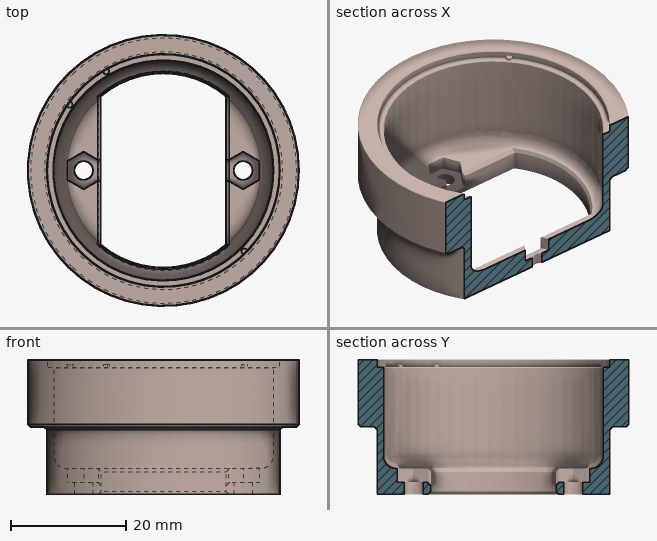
import cadquery as cq
import math

total_height = 23.31
flange_bottom_z = 11.61
floor_z = 4.5
ledge_z = 22.0

flange_diameter = 47.0
tube_diameter = 40.4
top_edge_chamfer = 0.1
flange_edge_chamfer = 0.5
neck_chamfer = 0.4

recess_diameter = 40.2
bore_diameter = 38.0
inner_edge_chamfer = 0.1
corner_radius = 2.2
corner_top_z = floor_z + corner_radius

opening_radius = 16.8
opening_half_width = 10.8
opening_chamfer = 0.6
opening_arc_flare = 0.33
opening_bottom_chamfer = 0.5

screw_offset = 13.8
screw_diameter = 3.2
nut_corner_diameter = 6.5
nut_turn = 90
nut_side_slant = 30
nut_depth = 2.4
mouth_flare = 0.25
mouth_length = 0.45

pin_diameter = 1.0
pin_height = 0.5
pin_center_radius = 19.8
pin_angles = (120, 145, 315)


def make_body():
    """Revolve the flanged cup: outside steps, recess, bore and solid floor."""
    flange_radius = flange_diameter / 2
    tube_radius = tube_diameter / 2
    recess_radius = recess_diameter / 2
    bore_radius = bore_diameter / 2
    arc_inset = corner_radius * (1 - math.sqrt(0.5))
    return (
        cq.Workplane("XZ")
        .moveTo(0, 0)
        .lineTo(tube_radius, 0)
        .lineTo(tube_radius, flange_bottom_z - neck_chamfer)
        .lineTo(tube_radius + neck_chamfer, flange_bottom_z)
        .lineTo(flange_radius - flange_edge_chamfer, flange_bottom_z)
        .lineTo(flange_radius, flange_bottom_z + flange_edge_chamfer)
        .lineTo(flange_radius, total_height - top_edge_chamfer)
        .lineTo(flange_radius - top_edge_chamfer, total_height)
        .lineTo(recess_radius + inner_edge_chamfer, total_height)
        .lineTo(recess_radius, total_height - inner_edge_chamfer)
        .lineTo(recess_radius, ledge_z)
        .lineTo(bore_radius + inner_edge_chamfer, ledge_z)
        .lineTo(bore_radius, ledge_z - inner_edge_chamfer)
        .lineTo(bore_radius, corner_top_z)
        .threePointArc(
            (bore_radius - arc_inset, floor_z + arc_inset),
            (bore_radius - corner_radius, floor_z),
        )
        .lineTo(0, floor_z)
        .close()
        .revolve(360, (0, 0), (0, 1))
    )


def opening_profile(wall_distance, top_flare):
    """Cross-section of half the floor opening, flared at the bottom and the top."""
    wall_top_z = floor_z - opening_chamfer
    return (
        cq.Workplane("XZ")
        .moveTo(0, 0)
        .lineTo(wall_distance + opening_bottom_chamfer, 0)
        .lineTo(wall_distance, opening_bottom_chamfer)
        .lineTo(wall_distance, wall_top_z)
        .lineTo(wall_distance + 2 * top_flare, wall_top_z + 2 * opening_chamfer)
        .lineTo(0, wall_top_z + 2 * opening_chamfer)
        .close()
    )


def make_opening():
    """Through opening: a flared round plug limited by two flared straight sides."""
    plug = opening_profile(opening_radius, opening_arc_flare).revolve(360, (0, 0), (0, 1))
    half_slab = opening_profile(opening_half_width, opening_chamfer).extrude(flange_diameter / 2, both=True)
    return plug.intersect(half_slab.union(half_slab.mirror("YZ")))


def make_nut_pocket():
    """Hexagonal nut pocket whose flared mouth and chamfered sill meet the opening."""
    pocket_z = floor_z - nut_depth
    sill_z = pocket_z - opening_chamfer
    base = cq.Workplane("XY").workplane(offset=sill_z)
    hexagon = (
        base.center(screw_offset, 0)
        .polygon(6, nut_corner_diameter)
        .extrude(corner_top_z - sill_z)
        .rotate((screw_offset, 0, 0), (screw_offset, 0, 1), nut_turn)
    )

    inner_x = opening_half_width + mouth_length
    slant_run = screw_offset - inner_x
    inner_y = nut_corner_diameter / 2 - slant_run * math.tan(math.radians(nut_side_slant))
    outer_y = inner_y + mouth_flare
    mouth = (
        base.moveTo(inner_x, -inner_y)
        .lineTo(inner_x, inner_y)
        .lineTo(opening_half_width, outer_y)
        .lineTo(opening_half_width, -outer_y)
        .close()
        .extrude(floor_z - sill_z)
    )

    section = (
        cq.Workplane("XZ")
        .moveTo(opening_half_width, sill_z)
        .lineTo(opening_half_width + opening_chamfer, pocket_z)
        .lineTo(bore_diameter / 2, pocket_z)
        .lineTo(bore_diameter / 2, corner_top_z)
        .lineTo(opening_half_width, corner_top_z)
        .close()
        .extrude(nut_corner_diameter, both=True)
    )
    return hexagon.union(mouth).intersect(section)


def make_nut_seat():
    """Screw hole with its nut pocket, on the +X side of the opening."""
    hole = cq.Workplane("XY").center(screw_offset, 0).circle(screw_diameter / 2).extrude(floor_z)
    return hole.union(make_nut_pocket())


def make_pin(angle):
    """Round pin standing on the ledge, its back buried in the recess wall."""
    direction = math.radians(angle)
    return (
        cq.Workplane("XY")
        .workplane(offset=ledge_z)
        .center(pin_center_radius * math.cos(direction), pin_center_radius * math.sin(direction))
        .circle(pin_diameter / 2)
        .extrude(pin_height)
    )


result = make_body().cut(make_opening())
nut_seat = make_nut_seat()
result = result.cut(nut_seat).cut(nut_seat.mirror("YZ"))
for angle in pin_angles:
    result = result.union(make_pin(angle))